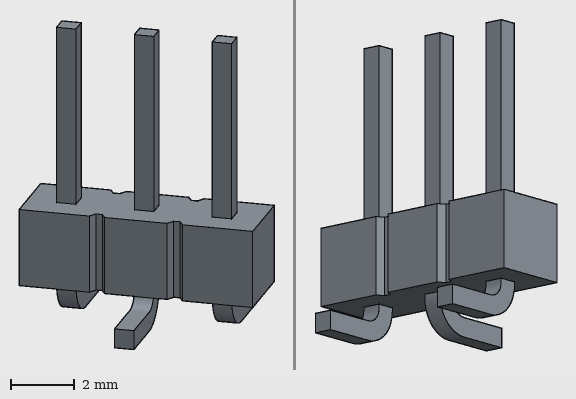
import cadquery as cq
import math

pitch = 2.54
pin_count = 3
housing_depth = 2.54
housing_height = 2.54
pin_width = 0.635
pin_top = 8.38
foot_drop = 1.27
foot_reach = 2.64
bend_inner_radius = 0.51

notch_mouth = 0.50
notch_depth = 0.25
notch_flank_angle = 30

housing_length = pin_count * pitch
notch_floor = notch_mouth - 2 * notch_depth * math.tan(math.radians(notch_flank_angle))
bend_outer_radius = bend_inner_radius + pin_width
middle_index = pin_count // 2


def pin_position(index):
    return (index - middle_index) * pitch


def notch(x, side):
    """Vertical trapezoidal groove at x in the front (side -1) or back (side +1) face."""
    face = side * housing_depth / 2
    floor = face - side * notch_depth
    return (
        cq.Workplane("XY")
        .moveTo(x - notch_mouth / 2, face)
        .lineTo(x - notch_floor / 2, floor)
        .lineTo(x + notch_floor / 2, floor)
        .lineTo(x + notch_mouth / 2, face)
        .close()
        .extrude(housing_height)
    )


def make_pin(index, side):
    """Square pin bent below the housing into a foot pointing to -Y (side -1) or +Y (side +1)."""
    half = pin_width / 2
    bend_centre_y = half + bend_inner_radius
    bend_start_z = bend_outer_radius - foot_drop
    foot_top_z = pin_width - foot_drop
    profile = (
        cq.Workplane("YZ")
        .moveTo(-side * half, pin_top)
        .lineTo(-side * half, bend_start_z)
        .radiusArc((side * bend_centre_y, -foot_drop), -side * bend_outer_radius)
        .lineTo(side * foot_reach, -foot_drop)
        .lineTo(side * foot_reach, foot_top_z)
        .lineTo(side * bend_centre_y, foot_top_z)
        .radiusArc((side * half, bend_start_z), side * bend_inner_radius)
        .lineTo(side * half, pin_top)
        .close()
    )
    return profile.extrude(half, both=True).translate((pin_position(index), 0, 0))


outer_pins = [make_pin(index, 1) for index in range(pin_count) if index != middle_index]

housing = cq.Workplane("XY").box(
    housing_length, housing_depth, housing_height, centered=(True, True, False)
)
for boundary in range(1, pin_count):
    boundary_x = boundary * pitch - housing_length / 2
    for face_side in (-1, 1):
        housing = housing.cut(notch(boundary_x, face_side))
for pin in outer_pins:
    housing = housing.cut(pin)
housing = housing.union(make_pin(middle_index, -1))

result = cq.Compound.makeCompound([housing.val(), *[pin.val() for pin in outer_pins]])